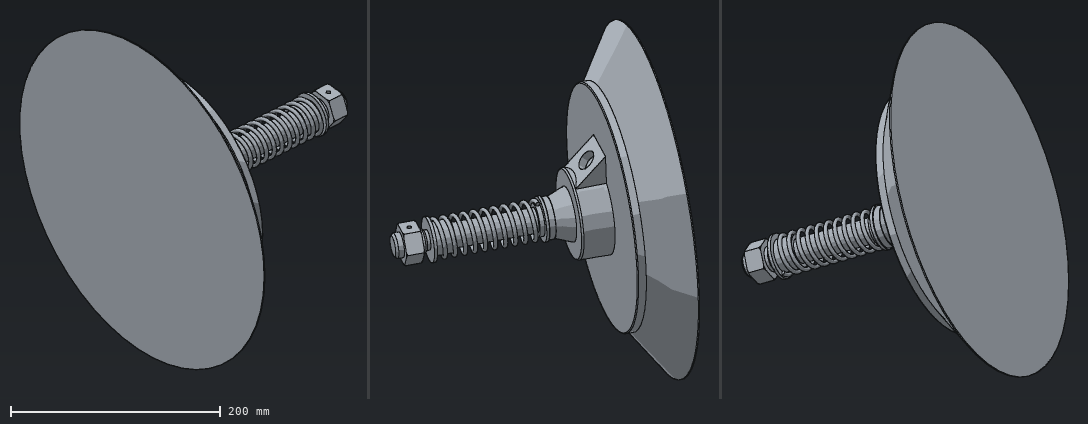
import cadquery as cq
import math


PAD_DIA = 349.0
RIM_HEIGHT = 1.5
FLANGE_DIA = 244.0
FLANGE_BOTTOM = 37.7
PAD_TOP = 46.5
FLANGE_CHAMFER = 1.0

BOSS_DIA = 90.7
BOSS_TOP_DIA = 90.0
BOSS_TOP = 79.2
BOSS_CHAMFER_HEIGHT = 2.0
BOSS_CHAMFER_WIDTH = 1.0
BOSS_SHOULDER = BOSS_TOP - BOSS_CHAMFER_HEIGHT
CONE_BASE_DIA = 54.5
CONE_TOP_DIA = 40.5
CONE_TOP = 97.7
COLLAR_DIA = 42.2

WASHER_DIA = 45.0
WASHER_THICKNESS = 3.0
LOWER_WASHER_TOP = 107.5
UPPER_WASHER_TOP = 218.8
LOWER_WASHER_BOTTOM = LOWER_WASHER_TOP - WASHER_THICKNESS
UPPER_WASHER_BOTTOM = UPPER_WASHER_TOP - WASHER_THICKNESS
GUIDE_DIA = 33.0
LOWER_GUIDE_TOP = 112.5
UPPER_GUIDE_BOTTOM = 195.8
ROD_DIA = 25.0
NECK_DIA = 20.0
NECK_TOP = 222.0
STEM_TOP = 253.7
THREAD_CHAMFER = 2.5

NUT_ACROSS_FLATS = 36.0
NUT_CORNER_DIA = NUT_ACROSS_FLATS / math.cos(math.pi / 6)
NUT_BOTTOM = 228.0
NUT_TOP = 245.5
NUT_EDGE_DIA = 39.0
NUT_CHAMFER_HEIGHT = 1.0
NUT_HOLE_DIA = 4.2
NUT_HOLE_DEPTH = 5.2

TURN_ANGLE = 6.3
PORT_WIDTH = 41.0
PORT_REACH = 71.0
PORT_HOLE_DIA = 20.0
PORT_HOLE_HEIGHT = 60.0
PORT_HOLE_DEPTH = 9.0

SPRING_OUTER_DIA = 42.2
WIRE_DIA = 4.2
SPRING_RADIUS = (SPRING_OUTER_DIA - WIRE_DIA) / 2
SPRING_PITCH = 9.98
SPRING_TURNS = 10.5
SPRING_START = 110.0

STEM_PLANE = cq.Plane(origin=(0, 0, 0), xDir=(0, 0, 1), normal=(0, 1, 0))


def revolve_about_stem(points):
    """Revolve a (radius, height) outline about the Y axis."""
    return cq.Workplane("XY").polyline(points).close().revolve(360, (0, 0, 0), (0, 1, 0))


def turn_about_stem(shape):
    return shape.rotate((0, 0, 0), (0, 1, 0), TURN_ANGLE)


def make_pad():
    flange_radius = FLANGE_DIA / 2
    return revolve_about_stem([
        (0, 0),
        (PAD_DIA / 2, 0),
        (PAD_DIA / 2, RIM_HEIGHT),
        (flange_radius, FLANGE_BOTTOM),
        (flange_radius, PAD_TOP - FLANGE_CHAMFER),
        (flange_radius - FLANGE_CHAMFER, PAD_TOP),
        (0, PAD_TOP),
    ])


def make_stem():
    """Boss, cone, collar, washers, guides and rod as one turned shape."""
    boss_radius = BOSS_DIA / 2
    boss_top_radius = BOSS_TOP_DIA / 2
    rod_radius = ROD_DIA / 2
    neck_radius = NECK_DIA / 2
    return revolve_about_stem([
        (0, PAD_TOP),
        (boss_radius, PAD_TOP),
        (boss_top_radius, BOSS_SHOULDER),
        (boss_top_radius - BOSS_CHAMFER_WIDTH, BOSS_TOP),
        (CONE_BASE_DIA / 2, BOSS_TOP),
        (CONE_TOP_DIA / 2, CONE_TOP),
        (COLLAR_DIA / 2, CONE_TOP),
        (COLLAR_DIA / 2, LOWER_WASHER_BOTTOM),
        (WASHER_DIA / 2, LOWER_WASHER_BOTTOM),
        (WASHER_DIA / 2, LOWER_WASHER_TOP),
        (GUIDE_DIA / 2, LOWER_WASHER_TOP),
        (GUIDE_DIA / 2, LOWER_GUIDE_TOP),
        (rod_radius, LOWER_GUIDE_TOP),
        (rod_radius, UPPER_GUIDE_BOTTOM),
        (GUIDE_DIA / 2, UPPER_GUIDE_BOTTOM),
        (GUIDE_DIA / 2, UPPER_WASHER_BOTTOM),
        (WASHER_DIA / 2, UPPER_WASHER_BOTTOM),
        (WASHER_DIA / 2, UPPER_WASHER_TOP),
        (neck_radius, UPPER_WASHER_TOP),
        (neck_radius, NECK_TOP),
        (rod_radius, NECK_TOP + THREAD_CHAMFER),
        (rod_radius, STEM_TOP - THREAD_CHAMFER),
        (rod_radius - THREAD_CHAMFER, STEM_TOP),
        (0, STEM_TOP),
    ])


def make_port_block():
    """Wedge beside the boss whose outer face slopes at 45 degrees."""
    block = (
        cq.Workplane("YZ")
        .polyline([
            (PAD_TOP, 0),
            (PAD_TOP, PORT_REACH),
            (BOSS_SHOULDER, PAD_TOP + PORT_REACH - BOSS_SHOULDER),
            (BOSS_SHOULDER, 0),
        ])
        .close()
        .extrude(PORT_WIDTH / 2, both=True)
    )
    return turn_about_stem(block)


def make_port_hole():
    """Blind hole square to the sloping face of the port block."""
    distance_from_axis = PAD_TOP + PORT_REACH - PORT_HOLE_HEIGHT
    face = cq.Plane(
        origin=(0, PORT_HOLE_HEIGHT, distance_from_axis), xDir=(1, 0, 0), normal=(0, 1, 1)
    )
    hole = cq.Workplane(face).circle(PORT_HOLE_DIA / 2).extrude(-PORT_HOLE_DEPTH)
    return turn_about_stem(hole)


def make_nut():
    """Hexagon with coned corners and a small blind hole in the flat facing +Z."""
    hexagon = (
        cq.Workplane(STEM_PLANE)
        .workplane(offset=NUT_BOTTOM)
        .transformed(rotate=(0, 0, 30))
        .polygon(6, NUT_CORNER_DIA)
        .extrude(NUT_TOP - NUT_BOTTOM)
    )
    edge_radius = NUT_EDGE_DIA / 2
    corner_radius = NUT_CORNER_DIA / 2
    corner_cone = revolve_about_stem([
        (0, NUT_BOTTOM),
        (edge_radius, NUT_BOTTOM),
        (corner_radius, NUT_BOTTOM + NUT_CHAMFER_HEIGHT),
        (corner_radius, NUT_TOP - NUT_CHAMFER_HEIGHT),
        (edge_radius, NUT_TOP),
        (0, NUT_TOP),
    ])
    hole = (
        cq.Workplane("XY", origin=(0, (NUT_BOTTOM + NUT_TOP) / 2, NUT_ACROSS_FLATS / 2))
        .circle(NUT_HOLE_DIA / 2)
        .extrude(-NUT_HOLE_DEPTH)
    )
    return turn_about_stem(hexagon.intersect(corner_cone).cut(hole))


def make_spring():
    """Right-handed coil whose upper end runs into the upper washer."""
    path = cq.Wire.makeHelix(SPRING_PITCH, SPRING_PITCH * SPRING_TURNS, SPRING_RADIUS)
    coil = (
        cq.Workplane("XZ", origin=(SPRING_RADIUS, 0, 0))
        .circle(WIRE_DIA / 2)
        .sweep(cq.Workplane(obj=path), isFrenet=True)
    )
    coil_on_stem = coil.val().moved(cq.Location(STEM_PLANE))
    return cq.Workplane(obj=coil_on_stem).translate((0, SPRING_START, 0))


def make_fitting():
    fitting = make_stem().union(make_port_block()).cut(make_port_hole())
    return fitting.union(make_nut()).union(make_spring())


pad = make_pad()
fitting = make_fitting()
result = cq.Compound.makeCompound([pad.val(), *fitting.solids().vals()])